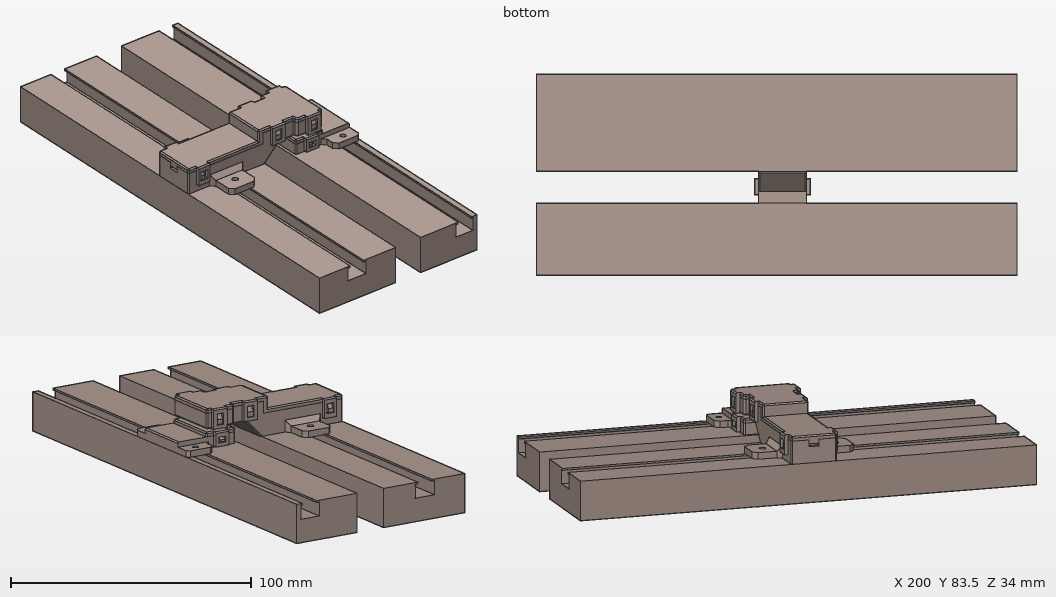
import cadquery as cq


rail_length = 200.0
rail_height = 17.0
front_rail_depth = 40.5
rear_rail_depth = 30.0
overall_depth = 83.5
slot_floor = 10.2
slot_mouth_width = 7.2
slot_lip_thickness = 0.8
slot_cavity_width = 9.5
front_slot_y = 19.8
rear_slot_y = 77.2
rear_slot_back_y = 81.5

duct_x = 2.5
narrow_half_width = 10.0
wide_half_width = 12.5
cover_thickness = 1.9
edge_chamfer = 0.5
shoulder_chamfer = 1.0

front_cover_top = 28.8
bridge_top = 34.0
bridge_underside = 25.2
bridge_rear_y = 69.2
wide_front_y = 55.5
wide_middle_y = (wide_front_y + bridge_rear_y) / 2
cover_step_y = 37.0
ramp_bottom_y = 41.0
ramp_top_y = 48.8
front_base_top = front_cover_top - cover_thickness
bridge_base_top = bridge_top - cover_thickness
base_step_y = 39.5

notch_width = 4.5
notch_floor = 24.0
notch_depth = 2.0
tongue_bottom = 25.2

rear_base_front_y = 55.0
rear_cover_rear_y = 69.5
rear_base_top = 22.0
rear_cover_top = rear_base_top + cover_thickness

ear_top = 19.8
ear_half_length = 7.0
ear_corner = 2.0
front_ear_y = 20.0
rear_ear_y = 77.2
front_ear_reach = 22.2
rear_ear_reach = 19.8
screw_offset = 16.0
front_screw_diameter = 2.5
rear_screw_diameter = 2.5
gusset_spread = 1.8
gusset_reach = 2.0
gusset_rise = 2.5

narrow_tab_thickness = 1.5
wide_tab_thickness = 1.8
latch_projection = 1.0
latch_top_gap = 0.5


def span(centre, length):
    """Lower and upper limits of a length centred on a point."""
    return (centre - length / 2, centre + length / 2)


def box(x_range, y_range, z_range):
    """Box between pairs of X, Y and Z limits."""
    return cq.Workplane("XY").box(
        x_range[1] - x_range[0], y_range[1] - y_range[0], z_range[1] - z_range[0], centered=False
    ).translate((x_range[0], y_range[0], z_range[0]))


def across_duct(half_width, outline):
    """Y-Z outline extruded equally to both sides of the duct's middle plane."""
    return (
        cq.Workplane("YZ", origin=(duct_x, 0, 0)).polyline(outline).close()
        .extrude(half_width, both=True)
    )


def duct_block(half_width, y_range, z_range):
    """Box centred on the duct's middle plane."""
    return box((duct_x - half_width, duct_x + half_width), y_range, z_range)


def mirrored(body):
    """The body and its mirror image in the duct's middle plane, as a list."""
    return [body, body.mirror("YZ", (duct_x, 0, 0))]


class Clip:
    """Position and sizes of a pair of snap clips on both sides of the duct."""

    def __init__(self, y, width, half_width, thickness, z_range, window_width, window_z_range, latch_width):
        self.y = y
        self.width = width
        self.half_width = half_width
        self.thickness = thickness
        self.z_range = z_range
        self.window_width = window_width
        self.window_z_range = window_z_range
        self.latch_width = latch_width


front_clip = Clip(
    y=7.2, width=6.0, half_width=narrow_half_width, thickness=narrow_tab_thickness,
    z_range=(20.2, front_cover_top), window_width=3.5, window_z_range=(22.2, 26.5), latch_width=2.5,
)
bridge_clip = Clip(
    y=46.8, width=6.8, half_width=narrow_half_width, thickness=narrow_tab_thickness,
    z_range=(bridge_underside, bridge_top), window_width=3.2, window_z_range=(26.8, 31.5), latch_width=3.2,
)
wide_clip = Clip(
    y=63.5, width=6.8, half_width=wide_half_width, thickness=wide_tab_thickness,
    z_range=(bridge_underside, bridge_top), window_width=3.2, window_z_range=(26.8, 31.5), latch_width=3.2,
)
rear_clip = Clip(
    y=62.5, width=6.5, half_width=wide_half_width, thickness=wide_tab_thickness,
    z_range=(17.5, rear_cover_top), window_width=3.5, window_z_range=(19.0, 21.5), latch_width=2.5,
)


def add_tabs(cover, clip):
    """Windowed tabs hanging down from both sides of a cover."""
    inner_x = duct_x + clip.half_width
    outer_x = inner_x + clip.thickness
    tab = box((inner_x, outer_x), span(clip.y, clip.width), clip.z_range)
    tab = tab.edges(">X and >Z").chamfer(edge_chamfer)
    root = box(
        (inner_x - edge_chamfer, inner_x),
        span(clip.y, clip.width),
        (clip.z_range[1] - cover_thickness, clip.z_range[1]),
    )
    window = box(
        (inner_x, outer_x),
        span(clip.y, clip.window_width),
        clip.window_z_range,
    )
    for side in mirrored(tab.cut(window).union(root)):
        cover = cover.union(side)
    return cover


def add_latches(base, clip):
    """Wedge latches in the tab windows: sloping above, flat below, against the front end of the window."""
    side_x = duct_x + clip.half_width
    tip_x = side_x + latch_projection
    front_y = clip.y - clip.window_width / 2
    bottom = clip.window_z_range[0]
    top = clip.window_z_range[1] - latch_top_gap
    tip_z = (bottom + top) / 2
    wedge = (
        cq.Workplane("XZ", origin=(0, front_y, 0))
        .polyline([(side_x, bottom), (tip_x, bottom), (tip_x, tip_z), (side_x, top)]).close()
        .extrude(-clip.latch_width)
    )
    for latch in mirrored(wedge):
        base = base.union(latch)
    return base


def ear(y, reach, screw_diameter):
    """Screw ear on the +X side, with its two outer corners cut off."""
    plate = box((duct_x, duct_x + reach), span(y, 2 * ear_half_length), (rail_height, ear_top))
    plate = plate.edges(">X and |Z").chamfer(ear_corner)
    screw_hole = (
        cq.Workplane("XY", origin=(duct_x + screw_offset, y, rail_height))
        .circle(screw_diameter / 2).extrude(ear_top - rail_height)
    )
    return plate.cut(screw_hole)


def front_gusset():
    """Flared root that widens and thickens the front ear towards the duct wall."""
    root_half = ear_half_length + gusset_spread
    return (
        cq.Workplane("YZ", origin=(duct_x + narrow_half_width, 0, 0))
        .moveTo(front_ear_y - root_half, rail_height)
        .lineTo(front_ear_y + root_half, rail_height)
        .lineTo(front_ear_y + root_half, ear_top + gusset_rise)
        .lineTo(front_ear_y - root_half, ear_top + gusset_rise).close()
        .workplane(offset=gusset_reach)
        .moveTo(front_ear_y - ear_half_length, rail_height)
        .lineTo(front_ear_y + ear_half_length, rail_height)
        .lineTo(front_ear_y + ear_half_length, ear_top)
        .lineTo(front_ear_y - ear_half_length, ear_top).close()
        .loft(ruled=True)
    )


def rear_gusset():
    """Triangular fillet between the front edge of the rear ear and the duct wall."""
    ear_front_y = rear_ear_y - ear_half_length
    return (
        cq.Workplane("XY", origin=(duct_x + wide_half_width, ear_front_y, rail_height))
        .polyline([(0, 0), (gusset_spread, 0), (0, -gusset_spread)]).close()
        .extrude(ear_top - rail_height)
    )


def make_rail(y_range, mouth_y, cavity_y_range):
    """Rail with a lipped slot open at both ends."""
    x_range = span(0, rail_length)
    rail = box(x_range, y_range, (0, rail_height))
    mouth = box(x_range, span(mouth_y, slot_mouth_width), (slot_floor, rail_height))
    cavity = box(x_range, cavity_y_range, (slot_floor, rail_height - slot_lip_thickness))
    return rail.cut(mouth).cut(cavity)


def make_front_base():
    """Duct base that sits on the front rail and bridges over to the rear one."""
    base = across_duct(
        narrow_half_width,
        [
            (0, rail_height),
            (ramp_bottom_y, rail_height),
            (ramp_top_y, bridge_underside),
            (wide_middle_y, bridge_underside),
            (wide_middle_y, bridge_base_top),
            (base_step_y, bridge_base_top),
            (base_step_y, front_base_top),
            (0, front_base_top),
        ],
    )
    base = base.edges("<Y and |Z").chamfer(edge_chamfer)
    ramp_direction = cq.Vector(0, ramp_top_y - ramp_bottom_y, bridge_underside - rail_height)
    base = base.edges(cq.selectors.ParallelDirSelector(ramp_direction)).chamfer(edge_chamfer)
    wide_end = duct_block(
        wide_half_width, (wide_front_y, bridge_rear_y), (bridge_underside, bridge_base_top)
    )
    wide_end = wide_end.edges("|Z and <Y").chamfer(shoulder_chamfer)
    wide_end = wide_end.edges("(|Z and >Y) or <Z").chamfer(edge_chamfer)
    base = base.union(wide_end)
    for plate in mirrored(ear(front_ear_y, front_ear_reach, front_screw_diameter).union(front_gusset())):
        base = base.union(plate)
    base = base.cut(duct_block(notch_width / 2, (0, notch_depth), (notch_floor, front_base_top)))
    for clip in (front_clip, bridge_clip, wide_clip):
        base = add_latches(base, clip)
    return base


def make_front_cover():
    """Stepped cover sheet of the front base, with its tongue and three pairs of tabs."""
    lower_sheet = duct_block(narrow_half_width, (0, base_step_y), (front_base_top, front_cover_top))
    lower_sheet = lower_sheet.edges("|Z and <Y").chamfer(edge_chamfer)
    lower_sheet = lower_sheet.faces(">Z").edges("not >Y").chamfer(edge_chamfer)
    upper_sheet = across_duct(
        narrow_half_width,
        [
            (cover_step_y, front_base_top),
            (cover_step_y, bridge_top),
            (wide_middle_y, bridge_top),
            (wide_middle_y, bridge_base_top),
            (base_step_y, bridge_base_top),
            (base_step_y, front_base_top),
        ],
    )
    upper_sheet = upper_sheet.edges("|Z and <Y").chamfer(edge_chamfer)
    wide_end = duct_block(wide_half_width, (wide_front_y, bridge_rear_y), (bridge_base_top, bridge_top))
    wide_end = wide_end.edges("|Z and <Y").chamfer(shoulder_chamfer)
    wide_end = wide_end.edges("|Z and >Y").chamfer(edge_chamfer)
    upper_sheet = upper_sheet.union(wide_end)
    upper_sheet = upper_sheet.faces(">Z").edges().chamfer(edge_chamfer)
    cover = lower_sheet.union(upper_sheet)
    tongue = duct_block(notch_width / 2, (0, notch_depth), (tongue_bottom, front_base_top))
    cover = cover.union(tongue)
    for clip in (front_clip, bridge_clip, wide_clip):
        cover = add_tabs(cover, clip)
    return cover


def make_rear_base():
    """Duct base that sits on the rear rail."""
    base = duct_block(wide_half_width, (rear_base_front_y, overall_depth), (rail_height, rear_base_top))
    base = base.edges("(<Y and |Z) or (>Y and >Z)").chamfer(edge_chamfer)
    rail_limit = duct_block(rail_length, (0, overall_depth), (0, bridge_top))
    side_plate = ear(rear_ear_y, rear_ear_reach, rear_screw_diameter).union(rear_gusset())
    for plate in mirrored(side_plate.intersect(rail_limit)):
        base = base.union(plate)
    return add_latches(base, rear_clip)


def make_rear_cover():
    """Flat cover sheet of the rear base with one pair of tabs."""
    cover = duct_block(
        wide_half_width, (rear_base_front_y, rear_cover_rear_y), (rear_base_top, rear_cover_top)
    )
    cover = cover.edges("|Z").chamfer(edge_chamfer).faces(">Z").edges().chamfer(edge_chamfer)
    return add_tabs(cover, rear_clip)


front_rail = make_rail(
    (0, front_rail_depth),
    front_slot_y,
    span(front_slot_y, slot_cavity_width),
)
rear_rail = make_rail(
    (overall_depth - rear_rail_depth, overall_depth),
    rear_slot_y,
    (rear_slot_y - slot_cavity_width / 2, rear_slot_back_y),
)
front_base = make_front_base()
front_cover = make_front_cover()
rear_base = make_rear_base()
rear_cover = make_rear_cover()

bodies = [front_rail, rear_rail, front_base, front_cover, rear_base, rear_cover]
result = cq.Compound.makeCompound([body.solids().val() for body in bodies])